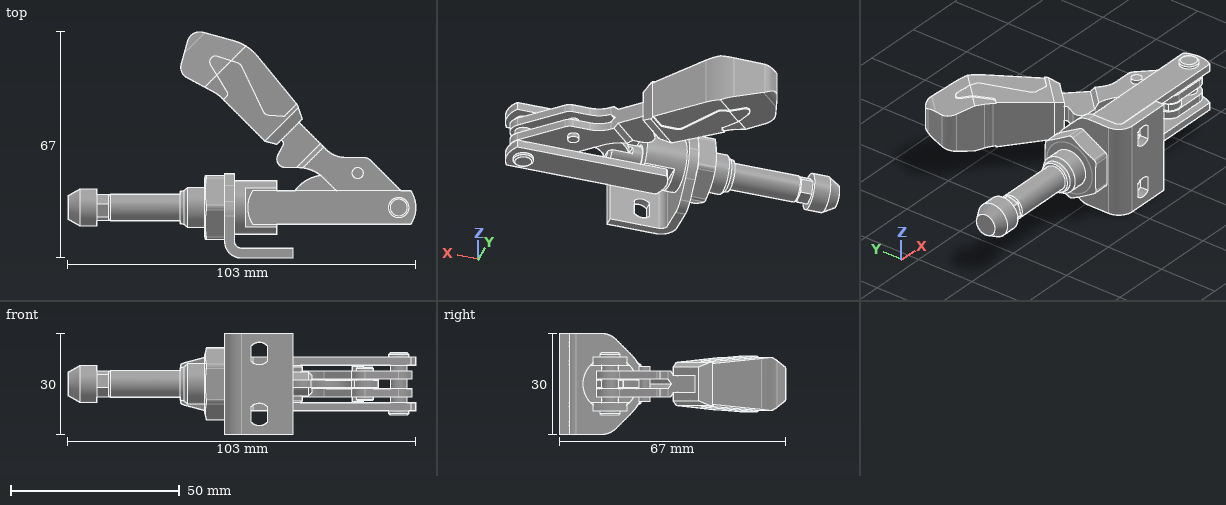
import cadquery as cq
import math


TIP_RADIUS = 3.5
TIP_TAPER_LENGTH = 3.5
HEAD_RADIUS = 5.5
HEAD_END = 8.5
NECK_HEX_FLATS = 7.0
NECK_HEX_TURN = 15.0
ROD_START = 12.0
ROD_RADIUS = 4.0
ROD_CHAMFER = 0.5
TAIL_RADIUS = 3.5
TAIL_END = 72.2
TAIL_CHAMFER = 1.0

NUT_START = 40.4
NUT_FLATS = 19.0
NUT_CORNER_RADIUS = 1.5
NUT_FACE_RADIUS = 8.5
NUT_CHAMFER_ANGLE = 14.0
BRACKET_FRONT = 46.3
SHEET = 3.0
BRACKET_BACK = BRACKET_FRONT + SHEET
BRACKET_WIDTH = 30.0
BRACKET_TOP = 10.0
BRACKET_BOTTOM = -15.0
BASE_END = 66.6
BEND_RADIUS = 2.0
CHEEK_START = 0.0
CHEEK_CORNER_RADIUS = 6.0
CREST_RADIUS = 12.0
SLOT_X = 56.6
SLOT_Z = 9.0
SLOT_WIDTH = 4.8
SLOT_LENGTH = 6.6

THREAD_START = 33.2
THREAD_RADIUS = 6.0
LIP_RADIUS = 4.8
LIP_STEP_RADIUS = 5.0
LIP_STEP_LENGTH = 1.1
BARREL_RADIUS = 8.0
BARREL_END = 61.8
BARREL_FLAT_START = 52.5

ARM_INNER = 5.5
ARM_OUTER = 8.0
ARM_START = 53.2
ARM_END = 103.0
ARM_WIDTH = 10.0
ARM_END_BULGE = 1.5

PIN_RADIUS = 2.5
MAIN_PIN_X = 97.9
MAIN_HEAD_RADIUS = 3.0
MAIN_HEAD_HEIGHT = 1.25
MAIN_HEAD_CHAMFER = 0.5
LINK_PIN_X = 87.9
LINK_PIN_HALF_LENGTH = 4.95
LINK_PIN_CHAMFER = 0.3
STOP_PIN_X = 85.75
STOP_PIN_Y = 10.2
STOP_PIN_RADIUS = 1.65
STOP_PIN_HALF_LENGTH = 5.2

LINK_THICKNESS = 2.2
LINK_EYE_RADIUS = 4.0
TAIL_EYE_X = 69.1
LINK_BACK_CENTER = (76.5, -2.0)
LINK_BACK_RADIUS = 11.7
LINK_HOLLOW_CENTER = (78.4, -3.5)
LINK_HOLLOW_RADIUS = 6.5
TAIL_SLOT_START = LINK_BACK_CENTER[0] - LINK_BACK_RADIUS

LEVER_PLATE = 2.5
LEVER_GAP_HALF = 1.4
LEVER_OUTER = LEVER_GAP_HALF + LEVER_PLATE
LEVER_EYE_RADIUS = 4.0
LEVER_TOP = 14.86
LEVER_SHOULDER = 11.8
JOGGLE_NECK_END = -39.45
JOGGLE_FORK_END = JOGGLE_NECK_END - LEVER_GAP_HALF
LEVER_FAR_END = -80.0
NECK_LOW = 58.8
NECK_HIGH = 66.2
FORK_FRONT_CORNER_Y = 0.5
FORK_TOP_RADIUS = 3.0
NECK_TOP_RADIUS = 8.0
NECK_UNDERSIDE_RADIUS = 11.0
HOOK_X = 60.1
HOOK_RADIUS = 2.55
HOOK_LIP = (64.0, 19.2)
HOOK_LIP_RADIUS = 1.2

GRIP_BASE = -30.5
GRIP_BEVEL_END = -27.3
GRIP_CREST = -3.4
GRIP_TIP_START = 8.0
GRIP_TIP_END = 11.0
GRIP_BASE_LOW = 56.9
GRIP_BASE_HIGH = 67.6
GRIP_BASE_HALF = 4.6
GRIP_BEVEL_HALF = 6.0
GRIP_CREST_HALF = 7.9
GRIP_TIP_HALF = 5.1
GRIP_NOSE_HALF = 2.5
GRIP_NOSE_MIDDLE = (9.8, 4.2)
PANEL_RAISE = 0.4

WIDE = 200.0


def handle_point(along, across):
    """XY point from the distances along and across the 45 degree handle direction."""
    diagonal = math.sqrt(2)
    return ((across - along) / diagonal, (across + along) / diagonal)


GRIP_CORNERS = [
    (58.3, 19.6, 0),
    (*handle_point(GRIP_BASE, GRIP_BASE_LOW), 0),
    (*handle_point(GRIP_BASE, GRIP_BASE_HIGH), 0),
    (67.9, 30.4, 0),
    (53.3, 48.25, 14.0),
    (36.35, 52.92, 3.8),
    (32.7, 39.75, 3.5),
    (44.4, 33.5, 9.0),
]

PANEL_CORNERS = [
    (45.2, 31.2, 0),
    (47.5, 33.5, 1.0),
    (39.8, 46.2, 1.7),
    (51.0, 42.6, 2.0),
    (58.3, 27.4, 2.0),
    (64.0, 27.0, 0.5),
    (68.5, 31.5, 0),
    (75.0, 25.0, 0),
    (62.0, 14.4, 0),
]


def rounded_outline(corners):
    """Closed XY outline through (x, y, radius) corners, with a tangent arc at each rounded corner."""
    outline = None
    count = len(corners)
    for i, (x, y, radius) in enumerate(corners):
        corner = cq.Vector(x, y)
        to_last = (cq.Vector(*corners[i - 1][:2]) - corner).normalized()
        to_next = (cq.Vector(*corners[(i + 1) % count][:2]) - corner).normalized()
        half_angle = to_last.getAngle(to_next) / 2
        reach = radius / math.tan(half_angle)
        arc_start = corner + to_last * reach
        if outline is None:
            outline = cq.Workplane("XY").moveTo(arc_start.x, arc_start.y)
        else:
            outline = outline.lineTo(arc_start.x, arc_start.y)
        if radius > 0:
            bisector = (to_last + to_next).normalized()
            arc_middle = corner + bisector * (radius / math.sin(half_angle) - radius)
            arc_end = corner + to_next * reach
            outline = outline.threePointArc((arc_middle.x, arc_middle.y), (arc_end.x, arc_end.y))
    return outline.close()


def round_z(x, y, radius, half_length):
    """Cylinder along Z, centred on Z = 0."""
    return cq.Workplane("XY").center(x, y).circle(radius).extrude(half_length, both=True)


def round_x(start, end, radius):
    """Cylinder on the plunger axis."""
    return cq.Workplane("YZ", origin=(start, 0, 0)).circle(radius).extrude(end - start)


def turned(profile):
    """Solid turned about the plunger axis from (x, radius) points."""
    return cq.Workplane("XY").polyline(profile).close().revolve(360, (0, 0, 0), (1, 0, 0))


def handle_section():
    """Workplane holding sections drawn in (along, z), extruded across the handle."""
    return cq.Workplane(cq.Plane(origin=(0, 0, 0), xDir=(-1, 1, 0), normal=(1, 1, 0)))


def make_plunger():
    head = turned([
        (0, 0),
        (0, TIP_RADIUS),
        (TIP_TAPER_LENGTH, HEAD_RADIUS),
        (HEAD_END, HEAD_RADIUS),
        (HEAD_END, 0),
    ])
    neck = (
        cq.Workplane("YZ", origin=(HEAD_END, 0, 0))
        .transformed(rotate=(0, 0, NECK_HEX_TURN))
        .polygon(6, NECK_HEX_FLATS / math.cos(math.pi / 6))
        .extrude(ROD_START - HEAD_END)
    )
    rod = round_x(ROD_START, BARREL_END, ROD_RADIUS).faces("<X").chamfer(ROD_CHAMFER)
    tail = round_x(BARREL_END, TAIL_END, TAIL_RADIUS).faces(">X").chamfer(TAIL_CHAMFER)
    slot = cq.Workplane("XY").box(WIDE, WIDE, LINK_THICKNESS, centered=(False, True, True))
    return head.union(neck).union(rod).union(tail).cut(slot.translate((TAIL_SLOT_START, 0, 0)))


def make_nut():
    length = BRACKET_FRONT - NUT_START
    hexagon = (
        cq.Workplane("YZ", origin=(NUT_START, 0, 0))
        .transformed(rotate=(0, 0, 90))
        .polygon(6, NUT_FLATS / math.cos(math.pi / 6))
        .extrude(length)
        .edges("|X")
        .fillet(NUT_CORNER_RADIUS)
    )
    cone_radius = NUT_FACE_RADIUS + length / math.tan(math.radians(NUT_CHAMFER_ANGLE))
    cone = turned([
        (NUT_START, 0),
        (NUT_START, NUT_FACE_RADIUS),
        (BRACKET_FRONT, cone_radius),
        (BRACKET_FRONT, 0),
    ])
    return hexagon.intersect(cone).cut(round_x(NUT_START, BRACKET_FRONT, THREAD_RADIUS))


def make_bracket():
    half_width = BRACKET_WIDTH / 2
    angle = rounded_outline([
        (BRACKET_FRONT, BRACKET_TOP, 0),
        (BRACKET_FRONT, BRACKET_BOTTOM, BEND_RADIUS + SHEET),
        (BASE_END, BRACKET_BOTTOM, 0),
        (BASE_END, BRACKET_BOTTOM + SHEET, 0),
        (BRACKET_BACK, BRACKET_BOTTOM + SHEET, BEND_RADIUS),
        (BRACKET_BACK, BRACKET_TOP, 0),
    ]).extrude(half_width, both=True)
    crest = half_width - (BRACKET_TOP - CHEEK_START)
    cheeks = rounded_outline([
        (-half_width, BRACKET_BOTTOM, 0),
        (half_width, BRACKET_BOTTOM, 0),
        (half_width, CHEEK_START, CHEEK_CORNER_RADIUS),
        (crest, BRACKET_TOP, CREST_RADIUS),
        (-crest, BRACKET_TOP, CREST_RADIUS),
        (-half_width, CHEEK_START, CHEEK_CORNER_RADIUS),
    ]).extrude(WIDE).rotate((0, 0, 0), (0, 1, 0), 90)
    bracket = angle.intersect(cheeks).cut(round_x(BRACKET_FRONT, BRACKET_BACK, THREAD_RADIUS))
    for side in (1, -1):
        slot_round = (
            cq.Workplane("XZ", origin=(SLOT_X, BRACKET_BOTTOM + SHEET, side * SLOT_Z))
            .circle(SLOT_LENGTH / 2)
            .extrude(SHEET)
        )
        slot_sides = cq.Workplane("XY").box(SLOT_WIDTH, WIDE, BRACKET_WIDTH).translate((SLOT_X, 0, 0))
        bracket = bracket.cut(slot_round.intersect(slot_sides))
    return bracket


def make_arm(side):
    half = ARM_WIDTH / 2
    return (
        cq.Workplane("XY", origin=(0, 0, side * (ARM_INNER + ARM_OUTER) / 2))
        .moveTo(ARM_START + ARM_END_BULGE, -half)
        .lineTo(ARM_END - ARM_END_BULGE, -half)
        .threePointArc((ARM_END, 0), (ARM_END - ARM_END_BULGE, half))
        .lineTo(ARM_START + ARM_END_BULGE, half)
        .threePointArc((ARM_START, 0), (ARM_START + ARM_END_BULGE, -half))
        .close()
        .extrude((ARM_OUTER - ARM_INNER) / 2, both=True)
        .cut(round_z(MAIN_PIN_X, 0, PIN_RADIUS, ARM_OUTER))
    )


def make_housing():
    lip_step = THREAD_START + LIP_STEP_LENGTH
    lip_end = lip_step + LIP_STEP_LENGTH
    sleeve = turned([
        (THREAD_START, 0),
        (THREAD_START, LIP_RADIUS),
        (lip_step, LIP_STEP_RADIUS),
        (lip_end, THREAD_RADIUS),
        (BRACKET_BACK, THREAD_RADIUS),
        (BRACKET_BACK, BARREL_RADIUS),
        (BARREL_END, BARREL_RADIUS),
        (BARREL_END, 0),
    ])
    housing = sleeve.cut(round_x(THREAD_START, BARREL_END, ROD_RADIUS))
    for side in (1, -1):
        flat = cq.Workplane("XY").box(WIDE, WIDE, WIDE, centered=(False, True, True))
        housing = housing.cut(flat.translate((BARREL_FLAT_START, 0, side * (ARM_INNER + WIDE / 2))))
        housing = housing.union(make_arm(side))
    return housing


def make_link():
    half = LINK_THICKNESS / 2
    back = round_z(*LINK_BACK_CENTER, LINK_BACK_RADIUS, half)
    below = cq.Workplane("XY").box(WIDE, WIDE, WIDE).translate((0, -WIDE / 2, 0))
    link = back.cut(below)
    for eye_x in (TAIL_EYE_X, LINK_PIN_X):
        link = link.union(round_z(eye_x, 0, LINK_EYE_RADIUS, half))
    link = link.cut(round_z(*LINK_HOLLOW_CENTER, LINK_HOLLOW_RADIUS, half))
    return link.cut(round_z(LINK_PIN_X, 0, PIN_RADIUS, half))


def make_lever():
    fork_left = LINK_PIN_X - LEVER_EYE_RADIUS
    tail_diagonal = MAIN_PIN_X + LEVER_EYE_RADIUS * math.sqrt(2)
    fork_front_diagonal = fork_left + FORK_FRONT_CORNER_Y
    neck_high_diagonal = NECK_HIGH * math.sqrt(2)
    outline = rounded_outline([
        (fork_left, -LEVER_EYE_RADIUS, LEVER_EYE_RADIUS),
        (tail_diagonal + LEVER_EYE_RADIUS, -LEVER_EYE_RADIUS, LEVER_EYE_RADIUS),
        (tail_diagonal - LEVER_TOP, LEVER_TOP, FORK_TOP_RADIUS),
        (neck_high_diagonal - LEVER_TOP, LEVER_TOP, NECK_TOP_RADIUS),
        (*handle_point(GRIP_BASE, NECK_HIGH), 0),
        (*handle_point(GRIP_BASE, NECK_LOW), 0),
        (*HOOK_LIP, HOOK_LIP_RADIUS),
        (HOOK_X, LEVER_SHOULDER, HOOK_RADIUS),
        (fork_front_diagonal - LEVER_SHOULDER, LEVER_SHOULDER, NECK_UNDERSIDE_RADIUS),
        (fork_left, FORK_FRONT_CORNER_Y, 0),
    ]).extrude(LEVER_OUTER, both=True)
    envelope = (
        handle_section()
        .polyline([
            (LEVER_FAR_END, LEVER_OUTER),
            (JOGGLE_FORK_END, LEVER_OUTER),
            (JOGGLE_NECK_END, LEVER_PLATE),
            (GRIP_BASE, LEVER_PLATE),
            (GRIP_BASE, -LEVER_PLATE),
            (JOGGLE_NECK_END, -LEVER_PLATE),
            (JOGGLE_FORK_END, -LEVER_OUTER),
            (LEVER_FAR_END, -LEVER_OUTER),
        ])
        .close()
        .extrude(WIDE, both=True)
    )
    bend_shift = LEVER_PLATE * math.tan(math.pi / 8)
    gap = (
        handle_section()
        .polyline([
            (LEVER_FAR_END, LEVER_GAP_HALF),
            (JOGGLE_FORK_END - bend_shift, LEVER_GAP_HALF),
            (JOGGLE_NECK_END - bend_shift, 0),
            (JOGGLE_FORK_END - bend_shift, -LEVER_GAP_HALF),
            (LEVER_FAR_END, -LEVER_GAP_HALF),
        ])
        .close()
        .extrude(WIDE, both=True)
    )
    link_pin = round_z(LINK_PIN_X, 0, PIN_RADIUS, LINK_PIN_HALF_LENGTH)
    link_pin = link_pin.faces("<Z or >Z").chamfer(LINK_PIN_CHAMFER)
    stop_pin = round_z(STOP_PIN_X, STOP_PIN_Y, STOP_PIN_RADIUS, STOP_PIN_HALF_LENGTH)
    fork = outline.intersect(envelope).cut(gap).union(link_pin).union(stop_pin)
    return fork.cut(round_z(MAIN_PIN_X, 0, PIN_RADIUS, LEVER_OUTER))


def grip_block(raise_by):
    """Block bounded by the grip's upper and lower faces, moved outward by raise_by."""
    upper = (
        handle_section()
        .moveTo(GRIP_BASE, 0)
        .lineTo(GRIP_BASE, GRIP_BASE_HALF + raise_by)
        .lineTo(GRIP_BEVEL_END, GRIP_BEVEL_HALF + raise_by)
        .lineTo(GRIP_CREST, GRIP_CREST_HALF + raise_by)
        .lineTo(GRIP_TIP_START, GRIP_TIP_HALF + raise_by)
        .threePointArc(
            (GRIP_NOSE_MIDDLE[0], GRIP_NOSE_MIDDLE[1] + raise_by),
            (GRIP_TIP_END, GRIP_NOSE_HALF + raise_by),
        )
        .lineTo(GRIP_TIP_END, 0)
        .close()
        .extrude(WIDE, both=True)
    )
    return upper.union(upper.mirror("XY"))


def make_grip():
    outline = rounded_outline(GRIP_CORNERS).extrude(WIDE, both=True)
    panel = rounded_outline(PANEL_CORNERS).extrude(WIDE, both=True)
    body = outline.intersect(grip_block(0))
    raised = outline.intersect(panel).intersect(grip_block(PANEL_RAISE))
    return body.union(raised)


def make_main_pin():
    pin = round_z(MAIN_PIN_X, 0, PIN_RADIUS, ARM_OUTER)
    head = (
        cq.Workplane("XY", origin=(MAIN_PIN_X, 0, ARM_OUTER))
        .circle(MAIN_HEAD_RADIUS)
        .extrude(MAIN_HEAD_HEIGHT)
        .faces(">Z")
        .chamfer(MAIN_HEAD_CHAMFER)
    )
    return pin.union(head).union(head.mirror("XY"))


plunger = make_plunger()
nut = make_nut()
bracket = make_bracket()
housing = make_housing()
link = make_link()
lever = make_lever()
grip = make_grip()
main_pin = make_main_pin()

bodies = [plunger, nut, bracket, housing, link, lever, grip, main_pin]
result = cq.Compound.makeCompound([body.solids().val() for body in bodies])